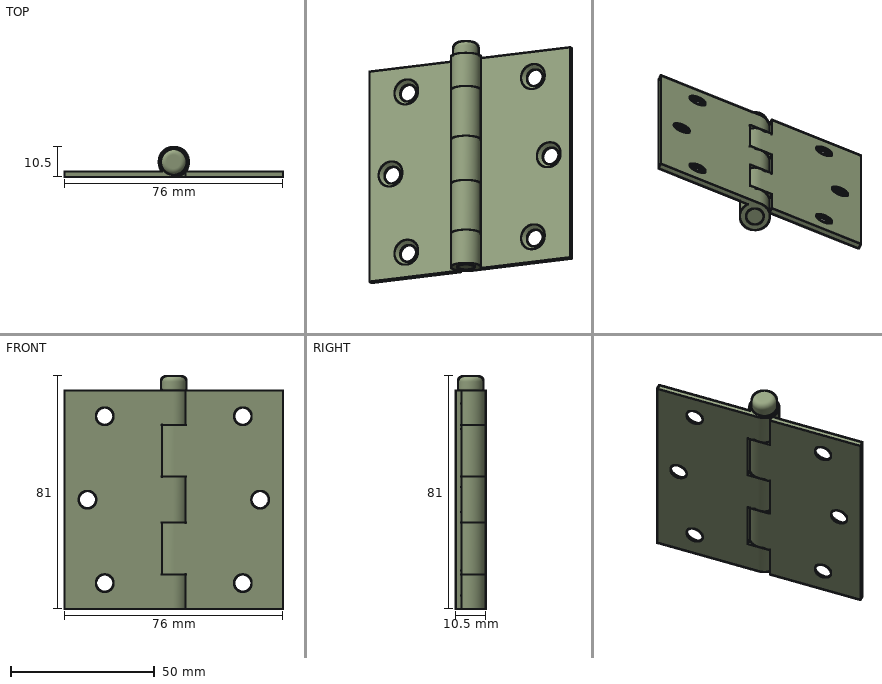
import cadquery as cq
import math

hinge_height = 76.0
leaf_width = 38.0
leaf_thickness = 2.0

knuckle_diameter = 10.5
knuckle_radius = knuckle_diameter / 2
bore_diameter = 6.2
end_knuckle_length = 12.0
paired_knuckle_length = 18.0
middle_knuckle_length = hinge_height - 2 * (end_knuckle_length + paired_knuckle_length)

screw_hole_diameter = 6.0
countersink_diameter = 9.0
countersink_angle = 90.0
end_hole_offset = 24.0
middle_hole_offset = 30.0
end_hole_inset = 9.0

pin_diameter = 6.0
head_diameter = 9.0
head_height = 5.0
head_top_fillet = 2.0
head_bottom_fillet = 0.5

leaf_front_y = -knuckle_radius
leaf_back_y = leaf_front_y + leaf_thickness
notch_edge_x = math.sqrt(knuckle_radius**2 - leaf_back_y**2)

lower_knuckle_z = end_knuckle_length
middle_knuckle_z = lower_knuckle_z + paired_knuckle_length
upper_knuckle_z = middle_knuckle_z + middle_knuckle_length
top_knuckle_z = upper_knuckle_z + paired_knuckle_length
three_knuckles = [
    (0.0, end_knuckle_length),
    (middle_knuckle_z, middle_knuckle_length),
    (top_knuckle_z, end_knuckle_length),
]
two_knuckles = [
    (lower_knuckle_z, paired_knuckle_length),
    (upper_knuckle_z, paired_knuckle_length),
]


def make_plate(side, inner_x, start_z, length):
    """Flat plate from inner_x to the outer edge; side is -1 for -X and +1 for +X."""
    width = leaf_width - inner_x
    center_x = side * (inner_x + width / 2)
    plate = cq.Workplane("XY").box(width, leaf_thickness, length, centered=(True, False, False))
    return plate.translate((center_x, leaf_front_y, start_z))


def make_barrel(diameter, start_z, length):
    """Cylinder on the hinge axis."""
    return cq.Workplane("XY").workplane(offset=start_z).circle(diameter / 2).extrude(length)


def make_screw_holes(side):
    """Cutters for the three countersunk screw holes of one leaf."""
    positions = [
        (side * end_hole_offset, end_hole_inset),
        (side * middle_hole_offset, hinge_height / 2),
        (side * end_hole_offset, hinge_height - end_hole_inset),
    ]
    back_face = cq.Workplane("XZ", origin=(0, leaf_back_y, 0)).pushPoints(positions)
    holes = back_face.circle(screw_hole_diameter / 2).extrude(leaf_thickness)
    half_angle = countersink_angle / 2
    depth = (countersink_diameter - screw_hole_diameter) / 2 / math.tan(math.radians(half_angle))
    countersinks = back_face.circle(countersink_diameter / 2).extrude(depth, taper=half_angle)
    return holes.union(countersinks)


def make_leaf(side, knuckles):
    """Plate with its knuckles, bored for the pin and drilled for screws."""
    leaf = make_plate(side, notch_edge_x, 0.0, hinge_height)
    for start_z, length in knuckles:
        knuckle = make_barrel(knuckle_diameter, start_z, length)
        leaf = leaf.union(knuckle.union(make_plate(side, 0.0, start_z, length)))
    leaf = leaf.cut(make_barrel(bore_diameter, 0.0, hinge_height))
    return leaf.cut(make_screw_holes(side))


def make_pin():
    """Pin running the full barrel, with a rounded head resting on the top knuckle."""
    head = make_barrel(head_diameter, hinge_height, head_height)
    head = head.faces(">Z").edges().fillet(head_top_fillet)
    head = head.faces("<Z").edges().fillet(head_bottom_fillet)
    return head.union(make_barrel(pin_diameter, 0.0, hinge_height))


left_leaf = make_leaf(-1, three_knuckles)
right_leaf = make_leaf(1, two_knuckles)
pin = make_pin()

result = cq.Compound.makeCompound(
    [*left_leaf.solids().vals(), *right_leaf.solids().vals(), *pin.solids().vals()]
)